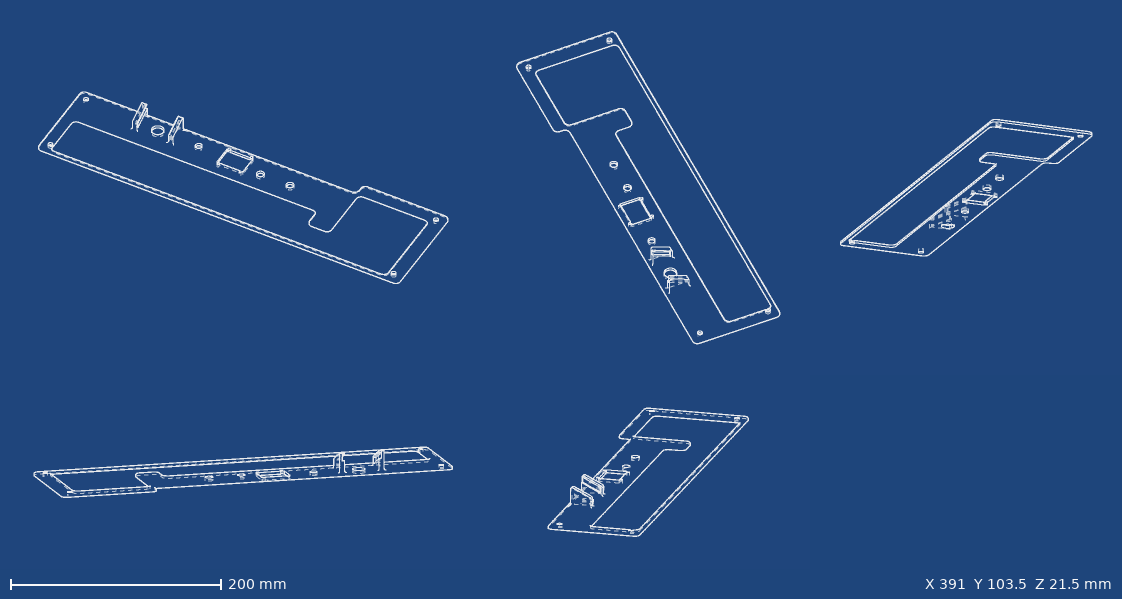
import cadquery as cq
import math

length = 391.0
width = 103.5
plate_thickness = 3.0
edge_round = 2.0
panel_step = 13.3
frame_left = 101.5
corner_radius = 5.0

left, right = -length / 2, length / 2
front, back = -width / 2, width / 2
panel_back = back - panel_step

opening_left = -183.5
opening_right = 180.3
opening_front = -47.7
opening_back = 38.7
panel_front = 0.0
tab_left = 80.0
tab_right = 104.0
tab_front = -20.5

screw_diameter = 4.5
screw_inset = 9.8
round_holes = [
    (-105.5, 24.0, 12.0),
    (-61.0, 23.5, 6.5),
    (9.0, 17.5, 7.5),
    (41.0, 17.5, 7.5),
]

window_x, window_y = -21.0, 22.3
window_length, window_width = 28.0, 20.5
relief_diameter = 2.0
relief_spacing = 24.0
relief_reach = 2.7

rib_centres = (-125.0, -86.0)
rib_thickness = 5.0
rib_back = 34.5
rib_length = 20.5
rib_front_height = 9.5
rib_slope = math.radians(26.4)
rib_round = 2.0
foot_round = 1.5
groove_depth = 2.5
groove_height = 6.0
groove_cover = 2.0
groove_stop = 2.0

rib_front = rib_back - rib_length


def prism(points, height):
    return cq.Workplane("XY").polyline(points).close().extrude(height)


def make_opening():
    opening = prism(
        [
            (opening_left, opening_front),
            (opening_right, opening_front),
            (opening_right, opening_back),
            (tab_right, opening_back),
            (tab_right, tab_front),
            (tab_left, tab_front),
            (tab_left, panel_front),
            (opening_left, panel_front),
        ],
        plate_thickness,
    )
    return opening.edges("|Z").fillet(corner_radius)


def make_plate():
    outline = prism(
        [
            (left, front),
            (right, front),
            (right, back),
            (frame_left, back),
            (frame_left, panel_back),
            (left, panel_back),
        ],
        plate_thickness,
    )
    outline = outline.edges("|Z").fillet(corner_radius)
    plate = outline.cut(make_opening())
    return plate.faces(">Z").edges().fillet(edge_round)


def drill_round_holes(plate):
    screw_x = right - screw_inset
    screw_front = front + screw_inset
    screws = [
        (-screw_x, screw_front),
        (screw_x, screw_front),
        (screw_x, back - screw_inset),
        (-screw_x, panel_back - screw_inset),
    ]
    holes = round_holes + [(x, y, screw_diameter) for x, y in screws]
    for x, y, diameter in holes:
        plate = plate.cut(cq.Workplane("XY").center(x, y).circle(diameter / 2).extrude(plate_thickness))
    return plate


def make_relieved_window():
    window = cq.Workplane("XY").center(window_x, window_y).rect(window_length, window_width)
    window = window.extrude(plate_thickness)
    relief_x = relief_spacing / 2
    relief_length = window_width + 2 * relief_reach
    reliefs = (
        cq.Workplane("XY")
        .center(window_x, window_y)
        .pushPoints([(-relief_x, 0), (relief_x, 0)])
        .slot2D(relief_length, relief_diameter, 90)
        .extrude(plate_thickness)
    )
    return window.union(reliefs)


def sloped_height(y):
    """Z of the rib's sloping top at Y, before its corners are rounded."""
    return plate_thickness + rib_front_height + (y - rib_front) * math.tan(rib_slope)


def make_rib(x, inward):
    """Rib centred on x; inward is +1 or -1, the X direction its groove faces."""
    side = cq.Workplane("YZ", origin=(x - rib_thickness / 2, 0, 0))
    rib = (
        side.polyline(
            [
                (rib_front, 0),
                (rib_back, 0),
                (rib_back, sloped_height(rib_back)),
                (rib_front, sloped_height(rib_front)),
            ]
        )
        .close()
        .extrude(rib_thickness)
    )
    rib = rib.edges("|X and (not <Z)").fillet(rib_round)

    groove_front = rib_front + groove_stop
    front_top = sloped_height(groove_front) - groove_cover
    back_top = sloped_height(rib_back) - groove_cover
    groove = (
        cq.Workplane("YZ", origin=(x + inward * rib_thickness / 2, 0, 0))
        .polyline(
            [
                (groove_front, front_top - groove_height),
                (rib_back, back_top - groove_height),
                (rib_back, back_top),
                (groove_front, front_top),
            ]
        )
        .close()
        .extrude(-inward * groove_depth)
    )

    return rib.cut(groove)


def round_foot(body, x):
    """Fillet between the plate and the rib centred on x."""
    search_margin = foot_round / 2
    half_thickness = rib_thickness / 2 + search_margin
    foot_edges = cq.selectors.BoxSelector(
        (x - half_thickness, rib_front - search_margin, plate_thickness - search_margin),
        (x + half_thickness, rib_back + search_margin, plate_thickness + search_margin),
    )
    return body.edges(foot_edges).fillet(foot_round)


result = drill_round_holes(make_plate()).cut(make_relieved_window())
for rib_x, groove_side in zip(rib_centres, (1, -1)):
    result = result.union(make_rib(rib_x, groove_side))
    result = round_foot(result, rib_x)